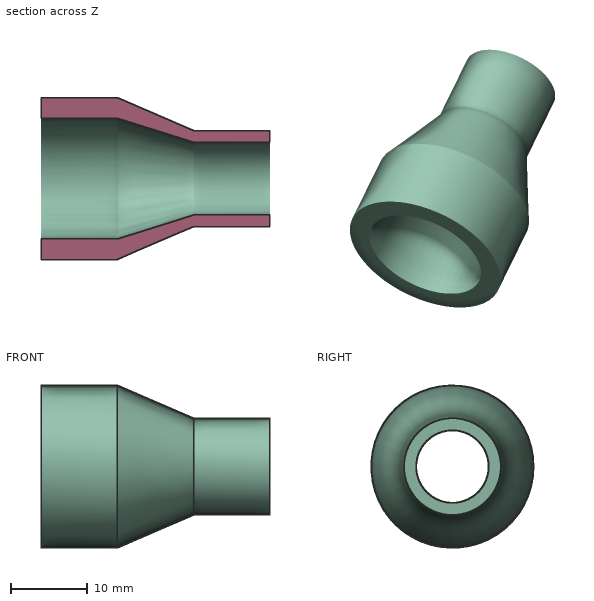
import cadquery as cq

total_length = 30.0
section_length = total_length / 3

inlet_outer_diameter = 21.33
inlet_bore_diameter = 15.78

outlet_outer_diameter = 12.7
outlet_bore_diameter = 9.48

taper_start = section_length
taper_end = total_length - section_length


def stepped_taper(inlet_diameter, outlet_diameter):
    """Solid of two coaxial cylinders joined by a cone, running along +X."""
    inlet_radius = inlet_diameter / 2
    outlet_radius = outlet_diameter / 2
    profile = (
        cq.Workplane("XY")
        .moveTo(0, 0)
        .lineTo(0, inlet_radius)
        .lineTo(taper_start, inlet_radius)
        .lineTo(taper_end, outlet_radius)
        .lineTo(total_length, outlet_radius)
        .lineTo(total_length, 0)
        .close()
    )
    return profile.revolve(360, (0, 0, 0), (1, 0, 0))


body = stepped_taper(inlet_outer_diameter, outlet_outer_diameter)
bore = stepped_taper(inlet_bore_diameter, outlet_bore_diameter)
result = body.cut(bore)